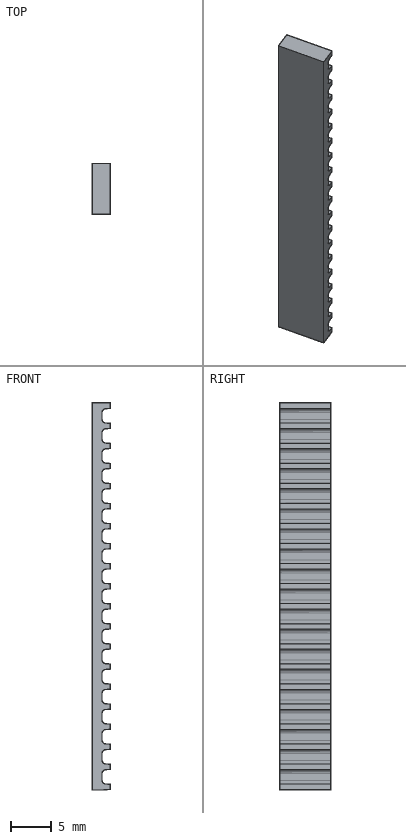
import cadquery as cq
import math

length = 48.25
width = 6.35
thickness = 2.25

groove_count = 19
groove_depth = 1.0
root_height = 1.7
root_radius = 0.45
flank_angle = math.radians(4)

first_groove_center = 1.65
last_groove_center = 1.65
pitch = (length - first_groove_center - last_groove_center) / (groove_count - 1)

root_x = thickness - groove_depth
tip_half_height = root_height / 2 + groove_depth * math.tan(flank_angle)

arc_center_x = root_x + root_radius
arc_half_height = (
    root_height / 2
    + root_radius * math.tan(flank_angle)
    - root_radius / math.cos(flank_angle)
)
flank_start_x = arc_center_x - root_radius * math.sin(flank_angle)
flank_start_half_height = arc_half_height + root_radius * math.cos(flank_angle)

tooth_tip_height = pitch - 2 * tip_half_height
bottom_tip_z = first_groove_center - tip_half_height - tooth_tip_height
bottom_flank_x = thickness - bottom_tip_z / math.tan(flank_angle)


def add_groove(outline, center_z):
    """Continue the outline upward along the tooth tip, then around one groove."""
    return (
        outline
        .lineTo(thickness, center_z - tip_half_height)
        .lineTo(flank_start_x, center_z - flank_start_half_height)
        .radiusArc((root_x, center_z - arc_half_height), root_radius)
        .lineTo(root_x, center_z + arc_half_height)
        .radiusArc((flank_start_x, center_z + flank_start_half_height), root_radius)
        .lineTo(thickness, center_z + tip_half_height)
    )


outline = (
    cq.Workplane("XZ")
    .lineTo(bottom_flank_x, 0)
    .lineTo(thickness, bottom_tip_z)
)
for index in range(groove_count):
    outline = add_groove(outline, first_groove_center + index * pitch)
outline = outline.lineTo(thickness, length).lineTo(0, length).close()

result = outline.extrude(width)